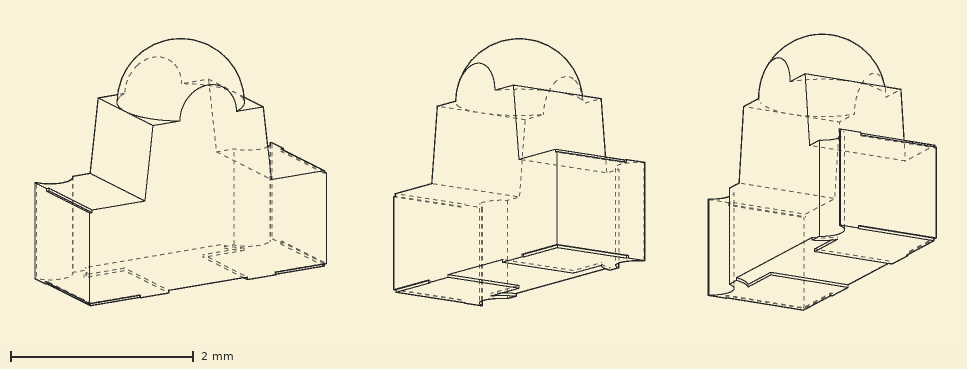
import cadquery as cq

width = 1.2
length = 3.0
height = 2.65
base_height = 1.1

lens_radius = 0.7
lens_center_z = height - lens_radius
pedestal_bottom_half = 0.8

groove_radius = 0.25
groove_x = -0.695
groove_y = 1.25

metal_thickness = 0.03
ring_radius = 0.405
pad_left = -0.37
pad_side_margin = 0.018
pad_inner_y = 0.498
full_width_strip = 0.36

step_size = 0.03
step_left = -0.345

half_width = width / 2
half_length = length / 2


def box_between(x_range, y_range, z_range):
    """Box spanning the given pairs of coordinates."""
    sizes = [end - start for start, end in (x_range, y_range, z_range)]
    return cq.Workplane("XY").box(*sizes, centered=False).translate((x_range[0], y_range[0], z_range[0]))


def mirrored_pair(feature):
    """The feature together with its copy at the opposite Y end."""
    return feature.union(feature.mirror("XZ"))


def groove_cylinder(radius, depth):
    """Upright cylinder on the axis of the +Y groove."""
    return cq.Workplane("XY").center(groove_x, groove_y).circle(radius).extrude(depth)


def make_body():
    """Stepped block with sloping pedestal sides, raised by the metal layer."""
    profile = [
        (-half_length, metal_thickness),
        (half_length, metal_thickness),
        (half_length, base_height),
        (pedestal_bottom_half, base_height),
        (lens_radius, lens_center_z),
        (-lens_radius, lens_center_z),
        (-pedestal_bottom_half, base_height),
        (-half_length, base_height),
    ]
    return cq.Workplane("YZ").polyline(profile).close().extrude(half_width, both=True)


def make_lens():
    """Hemisphere on the pedestal, trimmed flush with the X sides."""
    sphere = cq.Workplane("XY").sphere(lens_radius).translate((0, 0, lens_center_z))
    trim = box_between(
        (-half_width, half_width), (-lens_radius, lens_radius), (lens_center_z, height)
    )
    return sphere.intersect(trim)


def make_terminal():
    """Underside metal at the +Y end: groove ring, solder pad and a strip reaching the +X side."""
    layer = (0, metal_thickness)
    ring = groove_cylinder(ring_radius, metal_thickness).intersect(
        box_between((-half_width, half_width), (0, half_length), layer)
    )
    pad = box_between(
        (pad_left, half_width - pad_side_margin),
        (pad_inner_y, half_length - pad_side_margin),
        layer,
    )
    inner_strip = box_between(
        (pad_left, half_width),
        (pad_inner_y, pad_inner_y + full_width_strip),
        layer,
    )
    return ring.union(pad).union(inner_strip)


def make_end_step():
    """Cutter for the step along the upper edge of the +Y end."""
    return box_between(
        (step_left, half_width),
        (half_length - step_size, half_length),
        (base_height - step_size, base_height),
    )


result = (
    make_body()
    .union(make_lens())
    .union(mirrored_pair(make_terminal()))
    .cut(mirrored_pair(groove_cylinder(groove_radius, base_height)))
    .cut(mirrored_pair(make_end_step()))
)